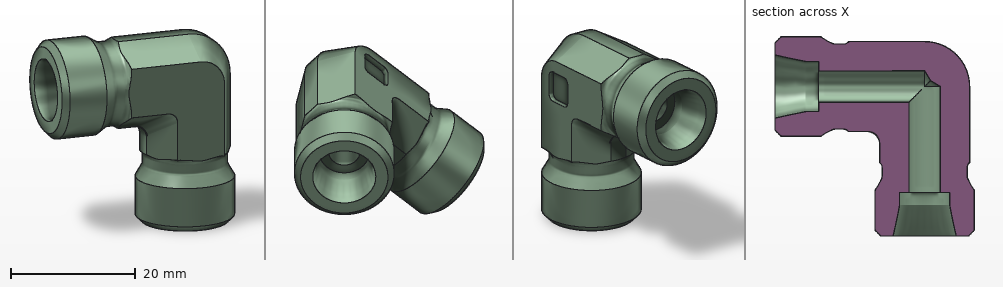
import cadquery as cq
import math

ARM_LENGTH = 24.0

BODY_WIDTH = 14.0
HEXAGON_SLOPE = math.radians(30)
RIDGE_HEIGHT = 7.23
INNER_CORNER_RADIUS = 2.0
SELECTION_MARGIN = 0.32

SHOULDER_FILLET = 1.0
TRIM_RADIUS = 9.6
NECK_START = 13.0

NECK_RADIUS = 13.7 / 2
NECK_BLEND = 1.0
THREAD_RADIUS = 16.0 / 2
THREAD_START = 16.65
THREAD_CONE_ANGLE = math.radians(30)
END_CHAMFER = 1.0

MOUTH_RADIUS = 10.1 / 2
SOCKET_RADIUS = 8.0 / 2
SOCKET_CONE_ANGLE = math.radians(12)
SOCKET_DEPTH = 7.0
BORE_RADIUS = 5.0 / 2
DRILL_POINT_ANGLE = math.radians(118)

RECESS_SIZE = 5.02
RECESS_CORNER = 1.0
RECESS_DEPTH = 0.85
RECESS_OFFSET = 0.55

HALF_WIDTH = BODY_WIDTH / 2
FLANK_HEIGHT = HALF_WIDTH * math.tan(HEXAGON_SLOPE)
RIDGE_HALF_WIDTH = (2 * FLANK_HEIGHT - RIDGE_HEIGHT) / math.tan(HEXAGON_SLOPE)


def turn_to_lower_arm(shape):
    """Swing a shape made for the -Y arm onto the -Z arm."""
    return shape.rotate((0, 0, 0), (1, 0, 0), 90)


def revolve_on_arm(profile):
    """Revolve a profile of (radius, -distance) about the -Y arm's axis."""
    return profile.close().revolve(360, (0, 0, 0), (0, 1, 0))


def make_body():
    upper_half = [
        (HALF_WIDTH, FLANK_HEIGHT),
        (RIDGE_HALF_WIDTH, RIDGE_HEIGHT),
        (-RIDGE_HALF_WIDTH, RIDGE_HEIGHT),
        (-HALF_WIDTH, FLANK_HEIGHT),
    ]
    lower_half = [(-x, -z) for x, z in upper_half]
    arm = cq.Workplane("XZ").polyline(upper_half + lower_half).close().extrude(NECK_START)

    half_section = [(HALF_WIDTH, 0)] + upper_half + [(-HALF_WIDTH, 0)]
    back = cq.Workplane("XZ").polyline(half_section).close().revolve(90, (0, 0, 0), (-1, 0, 0))

    body = arm.union(turn_to_lower_arm(arm)).union(back).clean()
    inner_limit = -FLANK_HEIGHT + SELECTION_MARGIN
    outer_limit = -RIDGE_HEIGHT - SELECTION_MARGIN
    corner = cq.selectors.BoxSelector(
        (-BODY_WIDTH, outer_limit, outer_limit),
        (BODY_WIDTH, inner_limit, inner_limit),
        boundingbox=True,
    )
    return body.edges(corner).fillet(INNER_CORNER_RADIUS)


def make_shoulder_cutter():
    """Ring that trims the body's end to the flat shoulder and its neck fillet."""
    shoulder = NECK_START - SHOULDER_FILLET
    arc_inset = SHOULDER_FILLET * (1 - math.sqrt(0.5))
    return revolve_on_arm(
        cq.Workplane("XY")
        .moveTo(NECK_RADIUS, -NECK_START)
        .threePointArc(
            (NECK_RADIUS + arc_inset, -shoulder - arc_inset),
            (NECK_RADIUS + SHOULDER_FILLET, -shoulder),
        )
        .lineTo(TRIM_RADIUS, -shoulder)
        .lineTo(TRIM_RADIUS, -NECK_START)
    )


def make_connection():
    """Neck, cone and thread cylinder at the end of the -Y arm."""
    cone_length = (THREAD_RADIUS - NECK_RADIUS) / math.tan(THREAD_CONE_ANGLE)
    cone_start = THREAD_START - cone_length
    setback = NECK_BLEND * math.tan(THREAD_CONE_ANGLE / 2)
    blend_start = cone_start - setback

    def blend_point(angle):
        radius = NECK_RADIUS + NECK_BLEND * (1 - math.cos(angle))
        return radius, -blend_start - NECK_BLEND * math.sin(angle)

    return revolve_on_arm(
        cq.Workplane("XY")
        .moveTo(0, -NECK_START)
        .lineTo(NECK_RADIUS, -NECK_START)
        .lineTo(NECK_RADIUS, -blend_start)
        .threePointArc(blend_point(THREAD_CONE_ANGLE / 2), blend_point(THREAD_CONE_ANGLE))
        .lineTo(THREAD_RADIUS, -THREAD_START)
        .lineTo(THREAD_RADIUS, -ARM_LENGTH + END_CHAMFER)
        .lineTo(THREAD_RADIUS - END_CHAMFER, -ARM_LENGTH)
        .lineTo(0, -ARM_LENGTH)
    )


def make_bore():
    """Conical mouth, tube socket and drilled bore with a pointed bottom."""
    cone_depth = (MOUTH_RADIUS - SOCKET_RADIUS) / math.tan(SOCKET_CONE_ANGLE)
    point_length = BORE_RADIUS / math.tan(DRILL_POINT_ANGLE / 2)
    return revolve_on_arm(
        cq.Workplane("XY")
        .moveTo(0, -ARM_LENGTH)
        .lineTo(MOUTH_RADIUS, -ARM_LENGTH)
        .lineTo(SOCKET_RADIUS, -ARM_LENGTH + cone_depth)
        .lineTo(SOCKET_RADIUS, -ARM_LENGTH + SOCKET_DEPTH)
        .lineTo(BORE_RADIUS, -ARM_LENGTH + SOCKET_DEPTH)
        .lineTo(BORE_RADIUS, 0)
        .lineTo(0, point_length)
    )


def make_recess():
    return (
        cq.Workplane("YZ", origin=(-HALF_WIDTH, -RECESS_OFFSET, -RECESS_OFFSET))
        .rect(RECESS_SIZE, RECESS_SIZE)
        .extrude(RECESS_DEPTH)
        .edges("|X")
        .fillet(RECESS_CORNER)
    )


shoulder_cutter = make_shoulder_cutter()
connection = make_connection()
bore = make_bore()

elbow = make_body()
elbow = elbow.cut(shoulder_cutter).cut(turn_to_lower_arm(shoulder_cutter))
elbow = elbow.union(connection).union(turn_to_lower_arm(connection))
elbow = elbow.cut(bore).cut(turn_to_lower_arm(bore))
result = elbow.cut(make_recess())